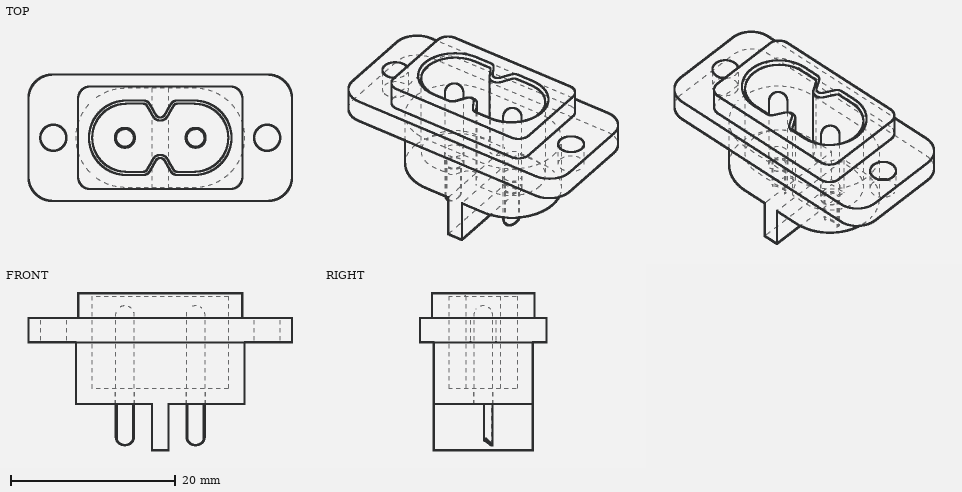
import cadquery as cq
import math

FLANGE_THICKNESS = 3.0
BOSS_HEIGHT = 3.0
BODY_DEPTH = 7.5
BLADE_DEPTH = 5.62
TOP_Z = FLANGE_THICKNESS + BOSS_HEIGHT

FLANGE_LENGTH = 32.1
FLANGE_WIDTH = 15.4
FLANGE_CORNER_RADIUS = 3.0
MOUNT_HOLE_DIAMETER = 3.15
MOUNT_HOLE_SPACING = 26.0
BOSS_LENGTH = 20.0
BOSS_WIDTH = 12.5
BOSS_CORNER_RADIUS = 1.5

BODY_LENGTH = 20.55
BODY_WIDTH = 12.07
BLADE_THICKNESS = 2.02

SOCKET_LENGTH = 16.55
SOCKET_WIDTH = 8.28
SOCKET_FLOOR_THICKNESS = 1.93
SOCKET_FLOOR_Z = SOCKET_FLOOR_THICKNESS - BODY_DEPTH
SOCKET_CHAMFER = 0.4
CHAMFER_ANGLE = 45
NOTCH_TIP_Y = 2.1
NOTCH_TIP_RADIUS = 1.0
NOTCH_ROOT_RADIUS = 0.48
NOTCH_HALF_ANGLE = math.radians(30)

PIN_DIAMETER = 2.25
PIN_RADIUS = PIN_DIAMETER / 2
PIN_HOLE_DIAMETER = 2.38
PIN_SPACING = 8.6
PIN_TOP_Z = 4.45
CUP_BORE_DIAMETER = 1.95
CUP_FACE_Y = 0.1
CUP_LENGTH = 5.0
CUP_TOP_Z = -BODY_DEPTH
CUP_TIP_Z = CUP_TOP_Z - CUP_LENGTH


def rounded_plate(length, width, thickness, corner_radius, bottom_z):
    plate = cq.Workplane("XY").workplane(offset=bottom_z).rect(length, width).extrude(thickness)
    return plate.edges("|Z").fillet(corner_radius)


def make_notch():
    """Rounded wedge of material that narrows the +Y side of the socket."""
    side_y = SOCKET_WIDTH / 2
    point_y = NOTCH_TIP_Y + NOTCH_TIP_RADIUS - NOTCH_TIP_RADIUS / math.sin(NOTCH_HALF_ANGLE)
    outer_y = side_y + NOTCH_TIP_RADIUS
    outer_x = (outer_y - point_y) * math.tan(NOTCH_HALF_ANGLE)
    wedge = (
        cq.Workplane("XY")
        .workplane(offset=SOCKET_FLOOR_Z)
        .polyline([(-outer_x, outer_y), (0, point_y), (outer_x, outer_y)])
        .close()
        .extrude(TOP_Z - SOCKET_FLOOR_Z)
    )
    return wedge.edges("|Z and <Y").fillet(NOTCH_TIP_RADIUS)


def make_socket():
    """Volume of the socket, widened by the chamfer around its mouth."""
    socket = (
        cq.Workplane("XY")
        .workplane(offset=SOCKET_FLOOR_Z)
        .slot2D(SOCKET_LENGTH, SOCKET_WIDTH)
        .extrude(TOP_Z - SOCKET_FLOOR_Z)
    )
    notch = make_notch()
    socket = socket.cut(notch).cut(notch.mirror("XZ"))
    straight_half_length = (SOCKET_LENGTH - SOCKET_WIDTH) / 2
    root_x = straight_half_length - NOTCH_ROOT_RADIUS
    for side in (-1, 1):
        wall_y = side * SOCKET_WIDTH / 2
        corner_zone = cq.selectors.BoxSelector(
            (-root_x, wall_y - NOTCH_ROOT_RADIUS, SOCKET_FLOOR_Z),
            (root_x, wall_y + NOTCH_ROOT_RADIUS, TOP_Z),
        )
        socket = socket.edges("|Z").edges(corner_zone).fillet(NOTCH_ROOT_RADIUS)
    mouth = (
        cq.Workplane("XY")
        .workplane(offset=TOP_Z)
        .add(socket.faces(">Z").wires())
        .toPending()
        .offset2D(SOCKET_CHAMFER)
        .extrude(-SOCKET_CHAMFER, taper=CHAMFER_ANGLE)
    )
    return socket.union(mouth)


def make_housing():
    flange = rounded_plate(FLANGE_LENGTH, FLANGE_WIDTH, FLANGE_THICKNESS, FLANGE_CORNER_RADIUS, 0)
    boss = rounded_plate(BOSS_LENGTH, BOSS_WIDTH, BOSS_HEIGHT, BOSS_CORNER_RADIUS, FLANGE_THICKNESS)
    body = cq.Workplane("XY").slot2D(BODY_LENGTH, BODY_WIDTH).extrude(-BODY_DEPTH)
    blade = (
        cq.Workplane("XY")
        .workplane(offset=-BODY_DEPTH)
        .rect(BLADE_THICKNESS, BODY_WIDTH)
        .extrude(-BLADE_DEPTH)
    )
    mount_holes = (
        cq.Workplane("XY")
        .rarray(MOUNT_HOLE_SPACING, 0.32, 2, 1)
        .circle(MOUNT_HOLE_DIAMETER / 2)
        .extrude(FLANGE_THICKNESS)
    )
    pin_holes = (
        cq.Workplane("XY")
        .workplane(offset=-BODY_DEPTH)
        .rarray(PIN_SPACING, 0.32, 2, 1)
        .circle(PIN_HOLE_DIAMETER / 2)
        .extrude(SOCKET_FLOOR_THICKNESS)
    )
    housing = flange.union(boss).union(body).union(blade)
    return housing.cut(mount_holes).cut(make_socket()).cut(pin_holes)


def cup_outline():
    """Round-ended tongue that trims the cup to the part beyond its flat +Y-side face."""
    shoulder_z = CUP_TIP_Z + PIN_RADIUS
    return (
        cq.Workplane("XZ", origin=(0, CUP_FACE_Y, 0))
        .moveTo(-PIN_RADIUS, CUP_TOP_Z)
        .lineTo(-PIN_RADIUS, shoulder_z)
        .threePointArc((0, CUP_TIP_Z), (PIN_RADIUS, shoulder_z))
        .lineTo(PIN_RADIUS, CUP_TOP_Z)
        .close()
        .extrude(-PIN_RADIUS)
    )


def make_pin(x):
    shank = (
        cq.Workplane("XY")
        .workplane(offset=CUP_TOP_Z)
        .circle(PIN_RADIUS)
        .extrude(PIN_TOP_Z - PIN_RADIUS - CUP_TOP_Z)
    )
    dome = cq.Workplane("XY").sphere(PIN_RADIUS).translate((0, 0, PIN_TOP_Z - PIN_RADIUS))
    cup = (
        cq.Workplane("XY")
        .workplane(offset=CUP_TOP_Z)
        .circle(PIN_RADIUS)
        .circle(CUP_BORE_DIAMETER / 2)
        .extrude(-CUP_LENGTH)
        .intersect(cup_outline())
    )
    return shank.union(dome).union(cup).translate((x, 0, 0))


housing = make_housing()
pins = [make_pin(side * PIN_SPACING / 2) for side in (-1, 1)]

result = cq.Compound.makeCompound([housing.val(), *[pin.val() for pin in pins]])